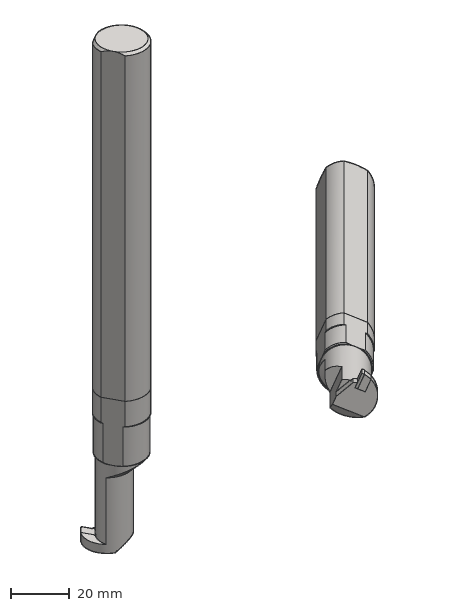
import cadquery as cq

total_length = 201.0
shank_diameter = 20.0
flat_offset = 9.0
joint_z = 62.5
top_chamfer = shank_diameter / 2 - flat_offset

shoulder_z = 52.3
shoulder_diameter = 19.5
neck_top_z = 36.2
neck_diameter = 2 * flat_offset
neck_top_chamfer = 0.5

relief_radius = neck_diameter / 2
relief_x = -5.2
relief_top_z = 30.5
back_flat_y = 4.6
back_flat_top_z = 16.5

lip_top_z = 4.0
lip_bottom_z = 0.5
heel_chamfer = 3.6

gullet_top_z = 4.6
gullet_foot_x = -10.7
gullet_bend = (-9.8, 1.5)
gullet_back_x = -3.0

notch_depth_x = -7.5
notch_end_y = -4.5

insert_edge_radius = 9.2
insert_inner_x = -8.5
insert_thickness = 3.8
edge_land = 1.0


def cylinder(diameter, z_low, z_high, x=0.0):
    """Upright cylinder between two heights."""
    return cq.Workplane("XY", origin=(x, 0, z_low)).circle(diameter / 2).extrude(z_high - z_low)


def box_between(low_corner, high_corner):
    """Box given by two opposite corners."""
    sizes = [high - low for low, high in zip(low_corner, high_corner)]
    return cq.Workplane("XY").box(*sizes, centered=False).translate(low_corner)


def trim_to_flats(body):
    """Keep what lies between the -X flat and the two Y flats."""
    envelope = box_between(
        (-flat_offset, -flat_offset, 0), (shank_diameter, flat_offset, total_length)
    )
    return body.intersect(envelope)


def make_shank():
    bar = cylinder(shank_diameter, joint_z, total_length).faces(">Z").chamfer(top_chamfer)
    return trim_to_flats(bar)


def make_neck_envelope():
    """Offset cylinder with a 45 degree cone that opens upward."""
    cone_height = neck_top_z - relief_top_z
    cone_radius = relief_radius + cone_height
    return (
        cq.Workplane("XZ", origin=(relief_x, 0, 0))
        .polyline([
            (0, lip_bottom_z),
            (relief_radius, lip_bottom_z),
            (relief_radius, relief_top_z),
            (cone_radius, neck_top_z),
            (0, neck_top_z),
        ])
        .close()
        .revolve(360, (0, 0, 0), (0, 1, 0))
    )


def make_back_cut():
    """Space behind the +Y flat of the neck, ending in a 45 degree ramp."""
    reach = neck_diameter
    return (
        cq.Workplane("YZ")
        .polyline([
            (back_flat_y, 0),
            (back_flat_y, back_flat_top_z),
            (back_flat_y + reach, back_flat_top_z + reach),
            (back_flat_y + reach, 0),
        ])
        .close()
        .extrude(2 * shank_diameter, both=True)
    )


def make_heel_cut():
    """45 degree chamfer across the +X side of the tip."""
    heel_x = relief_x + relief_radius
    return (
        cq.Workplane("XZ")
        .polyline([
            (heel_x - heel_chamfer, lip_bottom_z),
            (heel_x, lip_bottom_z + heel_chamfer),
            (heel_x, lip_bottom_z),
        ])
        .close()
        .extrude(shank_diameter, both=True)
    )


def make_gullet_cut():
    """Chip space in front of the rake plane, with a bent wall."""
    return (
        cq.Workplane("XY")
        .polyline([
            (-shank_diameter, 0),
            (gullet_foot_x, 0),
            gullet_bend,
            (gullet_back_x, back_flat_y),
            (gullet_back_x, shank_diameter),
            (-shank_diameter, shank_diameter),
        ])
        .close()
        .extrude(gullet_top_z)
    )


def make_notch_cut():
    """Shallow clearance between the top of the insert and the neck above it."""
    return box_between(
        (-shank_diameter, notch_end_y, lip_top_z), (notch_depth_x, 0, gullet_top_z)
    )


def make_insert():
    """Small cutting tip: a body flush with the lip and a proud land at the rake face."""
    body = cylinder(2 * relief_radius, lip_bottom_z, lip_top_z, relief_x).intersect(
        box_between((-shank_diameter, -insert_thickness, 0), (insert_inner_x, 0, lip_top_z))
    )
    edge_x = relief_x - insert_edge_radius
    land_profile = (
        cq.Workplane("XZ")
        .polyline([
            (edge_x, 0),
            (insert_inner_x, lip_bottom_z),
            (insert_inner_x, lip_top_z),
            (edge_x, lip_top_z),
        ])
        .close()
        .extrude(edge_land)
    )
    land = cylinder(2 * insert_edge_radius, 0, lip_top_z, relief_x).intersect(land_profile)
    return body.union(land)


def make_head(insert):
    collar = cylinder(shank_diameter, shoulder_z, joint_z)
    shoulder = (
        cylinder(shoulder_diameter, neck_top_z, shoulder_z).faces("<Z").chamfer(neck_top_chamfer)
    )
    neck = cylinder(neck_diameter, lip_bottom_z, neck_top_z).intersect(make_neck_envelope())
    lip = cylinder(2 * relief_radius, lip_bottom_z, lip_top_z, relief_x)
    tip = neck.cut(make_notch_cut()).union(lip)
    for cutter in (make_back_cut(), make_heel_cut(), make_gullet_cut()):
        tip = tip.cut(cutter)
    return trim_to_flats(collar.union(shoulder)).union(tip).cut(insert)


shank = make_shank()
insert = make_insert()
head = make_head(insert)

result = cq.Compound.makeCompound([shank.val(), head.val(), insert.val()])